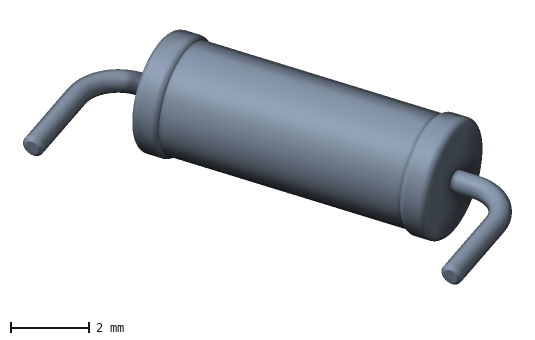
import cadquery as cq

body_diameter = 3.1
cap_diameter = 3.3
body_length = 8.5
cap_length = cap_diameter / 4
cap_fillet = 0.2

lead_diameter = 0.6
lead_pitch = 12.0
lead_reach = 3.7
bend_radius = 1.2
tip_chamfer = 0.1

half_length = body_length / 2


def make_body():
    """Plain cylinder that ends inside the caps, so only the caps form the end faces."""
    half_barrel = half_length - cap_length / 2
    return (
        cq.Workplane("YZ", origin=(-half_barrel, 0, 0))
        .circle(body_diameter / 2)
        .extrude(2 * half_barrel)
    )


def make_cap(start_x):
    """End cap from start_x towards +X, rounded on both rims."""
    return (
        cq.Workplane("YZ", origin=(start_x, 0, 0))
        .circle(cap_diameter / 2)
        .extrude(cap_length)
        .edges()
        .fillet(cap_fillet)
    )


def make_lead():
    """Lead on the +X side: straight run, quarter bend, straight run with a chamfered tip."""
    root_x = half_length - cap_length
    bend_start_x = lead_pitch / 2 - bend_radius
    exit_run = (
        cq.Workplane("YZ", origin=(root_x, 0, 0))
        .circle(lead_diameter / 2)
        .extrude(bend_start_x - root_x)
    )
    bend = (
        cq.Workplane("YZ", origin=(bend_start_x, 0, 0))
        .circle(lead_diameter / 2)
        .revolve(90, (-bend_radius, 0), (-bend_radius, -1))
    )
    tip_run = (
        cq.Workplane("XZ", origin=(lead_pitch / 2, -bend_radius, 0))
        .circle(lead_diameter / 2)
        .extrude(lead_reach - bend_radius)
        .faces("<Y")
        .chamfer(tip_chamfer)
    )
    return exit_run.union(bend).union(tip_run)


plus_x_lead = make_lead()
minus_x_lead = plus_x_lead.mirror("YZ")

result = make_body()
for cap_start in (-half_length, half_length - cap_length):
    result = result.union(make_cap(cap_start))
result = result.union(plus_x_lead).union(minus_x_lead)